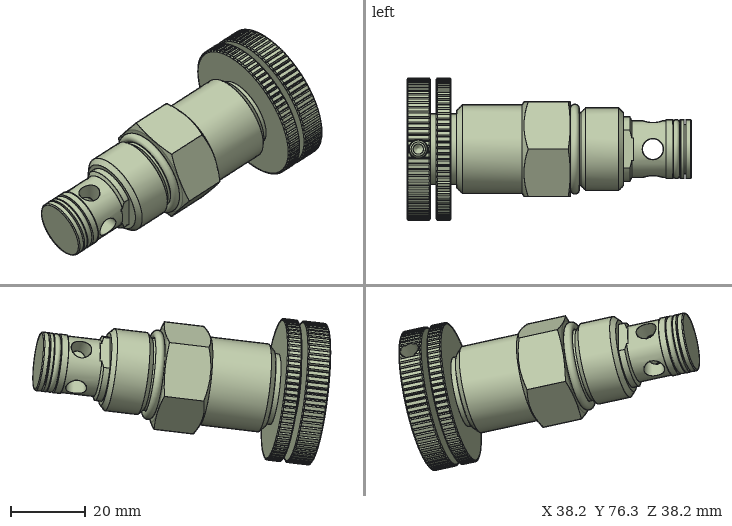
import cadquery as cq
import math

total_length = 76.3

nose_diameter = 15.9
nose_tip_chamfer = 0.3
thin_groove_start = 1.5
thin_groove_end = 2.0
groove_diameter = 13.3
shoulder_start = 2.9
seal_groove_start = 3.1
seal_groove_end = 5.0
shoulder_diameter = 15.8
nose_land_end = 6.9
nose_body_diameter = 15.3
small_ring_tube = 1.75

port_diameter = 5.6
port_position = 10.4

collar_diameter = 17.4
collar_taper_start = 16.0
collar_start = 16.55
flat_spacing = 14.1
flat_start = 15.55

thread_start = 18.2
thread_diameter = 22.2
thread_neck_diameter = 19.6
thread_chamfer = (thread_diameter - thread_neck_diameter) / 2
thread_end = 29.7
large_ring_tube = 2.45
large_ring_diameter = 24.1

hex_start = 32.5
hex_end = 45.4
hex_flats = 25.4
hex_front_diameter = 25.2
hex_front_angle = 15.0
hex_back_angle = 30.0

housing_diameter = 23.8
housing_end = 62.9
housing_chamfer = 1.5
stem_diameter = 19.1

rim_diameter = 38.2
lock_ring_start = 64.45
lock_ring_end = 68.4
knob_start = 70.0
rim_chamfer_radial = 0.45
rim_chamfer_axial = 0.3
knurl_count = 75
knurl_pitch_angle = 360 / knurl_count
knurl_width = 0.6
knurl_depth = 0.4
lock_ring_knurl_angle = 1.0
knob_knurl_angle = knurl_pitch_angle / 2

screw_hole_diameter = 5.1
screw_hole_position = 73.2
screw_diameter = 4.8
screw_tip_radius = 13.7
screw_tip_chamfer = 0.8
screw_floor_radius = 11.45
screw_tip_diameter = 3.8
screw_cup_diameter = 2.75


def cylinder(diameter, start, end):
    """Solid cylinder about the Y axis."""
    return cq.Workplane("XZ", origin=(0, start, 0)).circle(diameter / 2).extrude(start - end)


def revolve_profile(points):
    """Revolve (radius, Y) points, closed along the axis, about Y."""
    closed = [(0, points[0][1])] + points + [(0, points[-1][1])]
    return cq.Workplane("XY").polyline(closed).close().revolve(360, (0, 0, 0), (0, 1, 0))


def seal_ring(outer_diameter, tube, position):
    """O-ring about the Y axis, centred at the given Y."""
    centre_radius = (outer_diameter - tube) / 2
    section = cq.Workplane("XY").center(-centre_radius, position).circle(tube / 2)
    return section.revolve(360, (centre_radius, 0, 0), (centre_radius, 1, 0))


def make_nose():
    groove_radius = groove_diameter / 2
    nose_radius = nose_diameter / 2
    shoulder_radius = shoulder_diameter / 2
    nose_body_radius = nose_body_diameter / 2
    collar_radius = collar_diameter / 2
    nose = revolve_profile([
        (nose_radius - nose_tip_chamfer, 0),
        (nose_radius, nose_tip_chamfer),
        (nose_radius, thin_groove_start),
        (groove_radius, thin_groove_start),
        (groove_radius, thin_groove_end),
        (nose_radius, thin_groove_end),
        (nose_radius, shoulder_start),
        (shoulder_radius, shoulder_start),
        (shoulder_radius, seal_groove_start),
        (groove_radius, seal_groove_start),
        (groove_radius, seal_groove_end),
        (nose_radius, seal_groove_end),
        (nose_radius, nose_land_end),
        (nose_body_radius, nose_land_end),
        (nose_body_radius, collar_taper_start),
        (collar_radius, collar_start),
        (collar_radius, thread_start),
    ])
    flat_length = thread_start - flat_start
    for side in (-1, 1):
        flat_cut = cq.Workplane("XY").box(collar_diameter, flat_length, collar_diameter).translate(
            (side * (flat_spacing + collar_diameter) / 2, flat_start + flat_length / 2, 0))
        nose = nose.cut(flat_cut)
    for plane in ("XY", "YZ"):
        centre = cq.Workplane(plane, origin=(0, port_position, 0))
        nose = nose.cut(centre.circle(port_diameter / 2).extrude(nose_diameter, both=True))
    seal_position = (seal_groove_start + seal_groove_end) / 2
    return nose.union(seal_ring(nose_diameter, small_ring_tube, seal_position))


def make_plug():
    neck_radius = thread_neck_diameter / 2
    thread_radius = thread_diameter / 2
    plug = revolve_profile([
        (neck_radius, thread_start),
        (thread_radius, thread_start + thread_chamfer),
        (thread_radius, thread_end - thread_chamfer),
        (neck_radius, thread_end),
        (neck_radius, hex_start),
    ])
    ring_position = hex_start - large_ring_tube / 2
    return plug.union(seal_ring(large_ring_diameter, large_ring_tube, ring_position))


def make_hexagon():
    """Hexagon with corners on the X axis and turned chamfers on both ends."""
    corner_diameter = hex_flats / math.cos(math.pi / 6)
    corner_radius = corner_diameter / 2
    front_radius = hex_front_diameter / 2
    back_radius = housing_diameter / 2
    front_drop = (corner_radius - front_radius) * math.tan(math.radians(hex_front_angle))
    back_drop = (corner_radius - back_radius) * math.tan(math.radians(hex_back_angle))
    blank = cq.Workplane("XZ", origin=(0, hex_start, 0)).polygon(6, corner_diameter)
    turned = revolve_profile([
        (front_radius, hex_start),
        (corner_radius, hex_start + front_drop),
        (corner_radius, hex_end - back_drop),
        (back_radius, hex_end),
    ])
    return blank.extrude(hex_start - hex_end).intersect(turned)


def make_housing():
    housing_radius = housing_diameter / 2
    housing = revolve_profile([
        (housing_radius, hex_end),
        (housing_radius, housing_end - housing_chamfer),
        (housing_radius - housing_chamfer, housing_end),
    ])
    return housing.union(cylinder(stem_diameter, housing_end, knob_start))


def make_knurled_disc(start, end, first_groove_angle):
    """Disc with chamfered rims and V grooves; angles are measured from -X towards +Z."""
    radius = rim_diameter / 2
    disc = revolve_profile([
        (radius - rim_chamfer_radial, start),
        (radius, start + rim_chamfer_axial),
        (radius, end - rim_chamfer_axial),
        (radius - rim_chamfer_radial, end),
    ])
    mouth_radius = radius + knurl_depth
    groove = (
        cq.Workplane("XZ", origin=(0, start, 0))
        .polyline([
            (-radius + knurl_depth, 0),
            (-mouth_radius, knurl_width),
            (-mouth_radius, -knurl_width),
        ])
        .close()
        .extrude(start - end)
    )
    grooves = []
    for index in range(knurl_count):
        angle = first_groove_angle + index * knurl_pitch_angle
        grooves.append(groove.rotate((0, 0, 0), (0, 1, 0), angle).val())
    return disc.cut(cq.Workplane(cq.Compound.makeCompound(grooves)))


def make_screw_tip():
    """Cup-pointed end of the set screw at the bottom of its hole."""
    cup_depth = screw_cup_diameter / 2
    tip = (
        cq.Workplane("XY")
        .polyline([
            (-screw_floor_radius, 0),
            (-screw_floor_radius, screw_diameter / 2),
            (-screw_tip_radius + screw_tip_chamfer, screw_diameter / 2),
            (-screw_tip_radius, screw_tip_diameter / 2),
            (-screw_tip_radius, screw_cup_diameter / 2),
            (-screw_tip_radius + cup_depth, 0),
        ])
        .close()
        .revolve(360, (0, 0, 0), (1, 0, 0))
    )
    return tip.translate((0, screw_hole_position, 0))


def make_knob():
    knob = make_knurled_disc(knob_start, total_length, knob_knurl_angle)
    hole_depth = rim_diameter / 2 - screw_floor_radius
    hole = (
        cq.Workplane("YZ", origin=(-screw_floor_radius, screw_hole_position, 0))
        .circle(screw_hole_diameter / 2)
        .extrude(-hole_depth)
    )
    return knob.cut(hole).union(make_screw_tip())


result = (
    make_nose()
    .union(make_plug())
    .union(make_hexagon())
    .union(make_housing())
    .union(make_knurled_disc(lock_ring_start, lock_ring_end, lock_ring_knurl_angle))
    .union(make_knob())
)